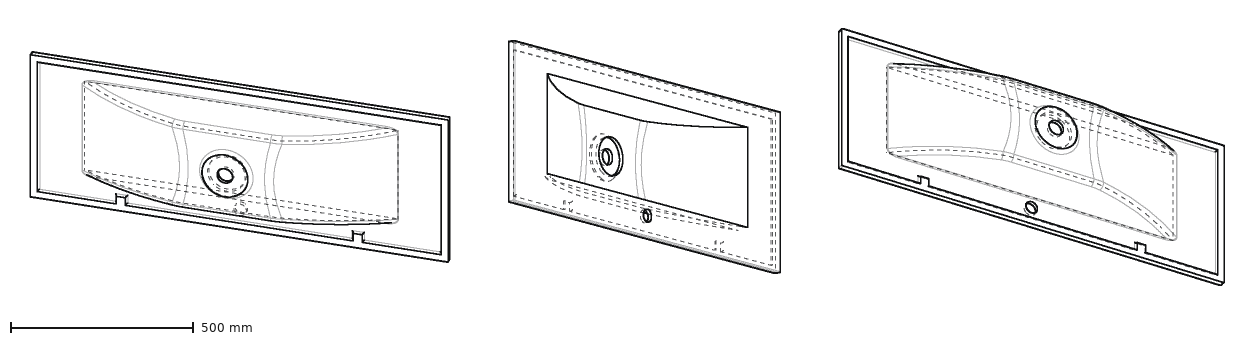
import cadquery as cq
import math

PLATE_LENGTH = 1200.0
PLATE_HEIGHT = 450.0
PLATE_THICKNESS = 19.0
PLATE_CORNER_RADIUS = 4.0
PLATE_BACK_FILLET = 3.0

WALL = 12.0
RIM_WIDTH = 20.0
RECESS_FLOOR_FILLET = 5.0
RECESS_DEPTH = PLATE_THICKNESS - WALL

TAB_SPACING = 679.0
TAB_WIDTH = 26.0
TAB_LENGTH = 24.0

TOTAL_DEPTH = 150.0
BOWL_CENTER_Z = 17.0
BOWL_HEIGHT = 301.0
BOWL_DRAFT_ANGLE = 7.5
BOWL_ARC_RADIUS = 825.0
BOWL_ARC_DEPTH = 148.0
FLOOR_ARC_RADIUS = 2280.0
FLOOR_DEPTH = 138.6
FLOOR_BLEND_RADIUS = 156.0
BOWL_EDGE_RADIUS = 18.0
BOWL_FOOT_FILLET = 4.0

DRAIN_BOSS_RADIUS = 66.0
DRAIN_BOSS_FILLET = 11.0
DRAIN_DIAMETER = 45.0
OVERFLOW_DIAMETER = 36.0
OVERFLOW_Z = -165.0


def bar_along_y(radius, z, y_start, y_end):
    """Round bar parallel to Y, from y_start down to y_end."""
    return (
        cq.Workplane("XZ", origin=(0, y_start, z))
        .circle(radius)
        .extrude(y_start - y_end)
    )


def bowl_body(inset, y_top):
    """Bowl shape moved inwards by inset and filled up to the plane Y = y_top."""
    arc_radius = BOWL_ARC_RADIUS - inset
    arc_center_y = BOWL_ARC_RADIUS - BOWL_ARC_DEPTH
    half_chord = math.sqrt(arc_radius**2 - (arc_center_y - y_top) ** 2)
    ends = (
        cq.Workplane("XY", origin=(0, 0, BOWL_CENTER_Z))
        .moveTo(-half_chord, y_top)
        .threePointArc((0, arc_center_y - arc_radius), (half_chord, y_top))
        .close()
        .extrude(PLATE_HEIGHT, both=True)
    )

    draft = math.radians(BOWL_DRAFT_ANGLE)
    half_height = BOWL_HEIGHT / 2 - inset / math.cos(draft)
    half_top = half_height + (WALL + y_top) * math.tan(draft)
    half_bottom = half_height - (FLOOR_DEPTH - WALL) * math.tan(draft)
    floor_radius = FLOOR_ARC_RADIUS - inset
    floor_sag = floor_radius - math.sqrt(floor_radius**2 - half_bottom**2)
    y_floor = inset - FLOOR_DEPTH
    section = (
        cq.Workplane("YZ", origin=(0, 0, BOWL_CENTER_Z))
        .moveTo(y_top, -half_top)
        .lineTo(y_floor + floor_sag, -half_bottom)
        .threePointArc((y_floor, 0), (y_floor + floor_sag, half_bottom))
        .lineTo(y_top, half_top)
        .close()
        .extrude(PLATE_LENGTH, both=True)
    )

    return ends.intersect(section).edges("%BSPLINE").fillet(FLOOR_BLEND_RADIUS - inset)


def bowl_outside():
    """Outer bowl shape with rounded long edges, buried into the plate."""
    body = bowl_body(0, -WALL / 2)
    return body.faces("<Z or >Z").edges("not(>Y)").fillet(BOWL_EDGE_RADIUS)


def plate():
    """Flat plate with rounded corners and a softened back edge."""
    return (
        cq.Workplane("XZ")
        .rect(PLATE_LENGTH, PLATE_HEIGHT)
        .extrude(PLATE_THICKNESS)
        .edges("|Y")
        .fillet(PLATE_CORNER_RADIUS)
        .faces(">Y")
        .edges()
        .fillet(PLATE_BACK_FILLET)
    )


def rim_recess():
    """Pocket in the underside with a filleted floor, interrupted by the two tabs."""
    half_x = PLATE_LENGTH / 2 - RIM_WIDTH
    half_z = PLATE_HEIGHT / 2 - RIM_WIDTH
    tab_top = TAB_LENGTH - half_z
    outline = cq.Workplane("XZ", origin=(0, -PLATE_THICKNESS, 0)).moveTo(-half_x, half_z)
    outline = outline.lineTo(-half_x, -half_z)
    for tab_x in (-TAB_SPACING / 2, TAB_SPACING / 2):
        left = tab_x - TAB_WIDTH / 2
        right = tab_x + TAB_WIDTH / 2
        outline = outline.lineTo(left, -half_z).lineTo(left, tab_top)
        outline = outline.lineTo(right, tab_top).lineTo(right, -half_z)
    return (
        outline.lineTo(half_x, -half_z)
        .lineTo(half_x, half_z)
        .close()
        .extrude(-RECESS_DEPTH)
        .faces(">Y")
        .edges()
        .fillet(RECESS_FLOOR_FILLET)
    )


def drain_boss(bowl):
    """Round boss under the bowl floor, flared into it by a fillet."""
    boss = bar_along_y(DRAIN_BOSS_RADIUS, BOWL_CENTER_Z, -WALL, -TOTAL_DEPTH)
    joined = bowl.union(boss)
    reach = DRAIN_BOSS_RADIUS + DRAIN_BOSS_FILLET
    joint = cq.selectors.BoxSelector(
        (-reach, -FLOOR_DEPTH - WALL / 2, BOWL_CENTER_Z - reach),
        (reach, -FLOOR_DEPTH + WALL / 2, BOWL_CENTER_Z + reach),
    )
    return joined.edges(joint).fillet(DRAIN_BOSS_FILLET)


def foot_fillet(body):
    """Concave fillet where the bowl meets the recess floor."""
    reach_x = BOWL_ARC_RADIUS * 0.6
    reach_z = BOWL_HEIGHT / 2 + WALL
    foot = cq.selectors.BoxSelector(
        (-reach_x, -WALL - 1.0, BOWL_CENTER_Z - reach_z),
        (reach_x, -WALL + 1.0, BOWL_CENTER_Z + reach_z),
    )
    return body.edges(foot).fillet(BOWL_FOOT_FILLET)


inside = bowl_body(WALL, 0).union(
    bar_along_y(DRAIN_BOSS_RADIUS - WALL, BOWL_CENTER_Z, -WALL, WALL - TOTAL_DEPTH)
)
drain_hole = bar_along_y(DRAIN_DIAMETER / 2, BOWL_CENTER_Z, 0, -2 * TOTAL_DEPTH)
overflow_hole = bar_along_y(OVERFLOW_DIAMETER / 2, OVERFLOW_Z, 0, -TOTAL_DEPTH)

result = (
    foot_fillet(plate().cut(rim_recess()).union(drain_boss(bowl_outside())))
    .cut(inside)
    .cut(drain_hole)
    .cut(overflow_hole)
)